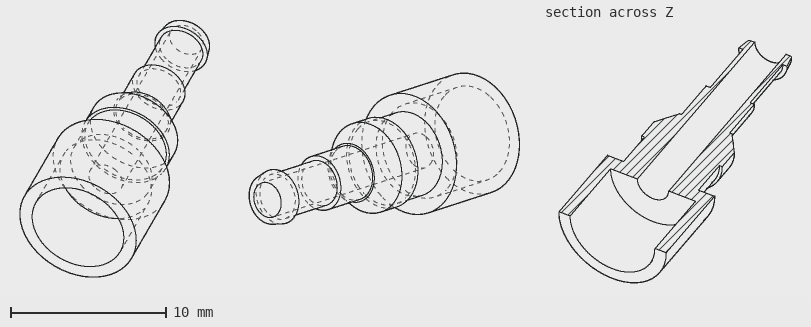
import cadquery as cq

total_length = 20.5

socket_diameter = 8.0
groove_diameter = 5.6
collar_diameter = 6.0
cone_end_diameter = 3.9
step_diameter = 3.6
neck_diameter = 3.0
barb_diameter = 3.6
barb_end_diameter = 3.24

socket_end = 6.31
groove_end = 9.0
collar_end = 10.6
cone_end = 12.12
step_end = 15.3
neck_end = 19.5
barb_edge_radius = 0.16

socket_bore_diameter = 6.3
socket_bore_depth = 5.25
passage_diameter = 2.32


def outer_body():
    """Revolve the stepped outside profile around the Y axis."""
    profile = (
        cq.Workplane("XY")
        .lineTo(socket_diameter / 2, 0)
        .lineTo(socket_diameter / 2, socket_end)
        .lineTo(groove_diameter / 2, socket_end)
        .lineTo(groove_diameter / 2, groove_end)
        .lineTo(collar_diameter / 2, groove_end)
        .lineTo(collar_diameter / 2, collar_end)
        .lineTo(cone_end_diameter / 2, cone_end)
        .lineTo(step_diameter / 2, cone_end)
        .lineTo(step_diameter / 2, step_end)
        .lineTo(neck_diameter / 2, step_end)
        .lineTo(neck_diameter / 2, neck_end)
        .lineTo(barb_diameter / 2, neck_end)
        .lineTo(barb_end_diameter / 2, total_length)
        .lineTo(0, total_length)
        .close()
    )
    body = profile.revolve(360, (0, 0, 0), (0, 1, 0))
    return body.faces(">Y").edges().fillet(barb_edge_radius)


def bore(diameter, depth):
    """Cylinder entering from the socket mouth along +Y."""
    return cq.Workplane("XZ").circle(diameter / 2).extrude(-depth)


result = (
    outer_body()
    .cut(bore(socket_bore_diameter, socket_bore_depth))
    .cut(bore(passage_diameter, total_length))
)